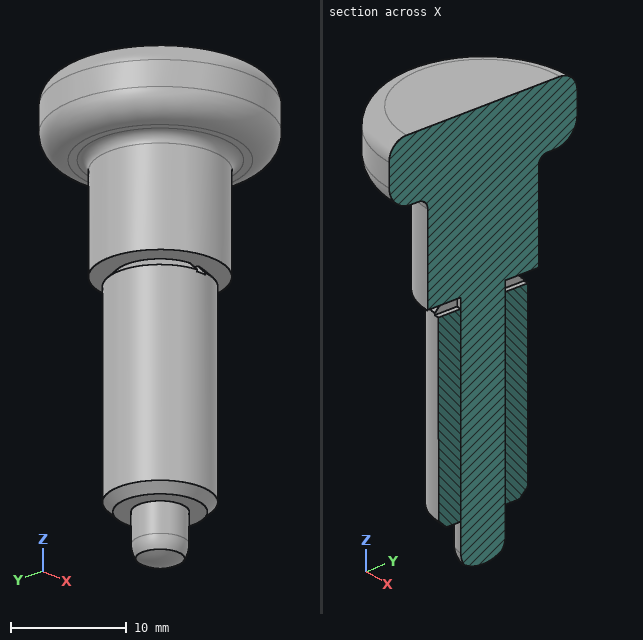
import cadquery as cq
import math

total_height = 45.0

knob_radius = 21.0 / 2
knob_height = 7.0
knob_top_round = 2.0
knob_bottom_round = 2.5
neck_radius = 6.2
neck_height = 11.0
neck_fillet = 1.0

pin_radius = 2.5
round_height = 2.0
dome_height = 0.65

sleeve_radius = 5.0
sleeve_chamfer = 0.9
sleeve_bottom = 5.0
slot_width = 1.0
slot_depth = 1.1

knob_bottom = total_height - knob_height
neck_bottom = knob_bottom - neck_height
sleeve_length = neck_bottom - sleeve_bottom


def make_plunger():
    """Knob and pin, revolved from one half-outline."""
    side_drop = round_height - dome_height
    dome_radius = math.sqrt(pin_radius**2 - side_drop**2)
    side_mid_angle = math.asin(side_drop / pin_radius) / 2
    side_mid = (
        pin_radius * math.cos(side_mid_angle),
        round_height - pin_radius * math.sin(side_mid_angle),
    )

    cap_radius = (dome_radius**2 + dome_height**2) / (2 * dome_height)
    dome_mid_radius = dome_radius / 2
    dome_mid = (dome_mid_radius, cap_radius - math.sqrt(cap_radius**2 - dome_mid_radius**2))

    outline = (
        cq.Workplane("XZ")
        .moveTo(0, 0)
        .threePointArc(dome_mid, (dome_radius, dome_height))
        .threePointArc(side_mid, (pin_radius, round_height))
        .lineTo(pin_radius, neck_bottom)
        .lineTo(neck_radius, neck_bottom)
        .lineTo(neck_radius, knob_bottom - neck_fillet)
        .radiusArc((neck_radius + neck_fillet, knob_bottom), neck_fillet)
        .lineTo(knob_radius - knob_bottom_round, knob_bottom)
        .radiusArc((knob_radius, knob_bottom + knob_bottom_round), -knob_bottom_round)
        .lineTo(knob_radius, total_height - knob_top_round)
        .radiusArc((knob_radius - knob_top_round, total_height), -knob_top_round)
        .lineTo(0, total_height)
        .close()
    )
    return outline.revolve(360, (0, 0, 0), (0, 1, 0))


def make_sleeve():
    """Chamfered sleeve with a bore for the pin and a slot across its top end."""
    sleeve = (
        cq.Workplane("XY")
        .workplane(offset=sleeve_bottom)
        .circle(sleeve_radius)
        .extrude(sleeve_length)
        .edges("%CIRCLE")
        .chamfer(sleeve_chamfer)
        .faces(">Z")
        .workplane()
        .hole(2 * pin_radius)
    )
    slot = (
        cq.Workplane("XY")
        .workplane(offset=neck_bottom - slot_depth)
        .rect(slot_width, 2 * sleeve_radius)
        .extrude(slot_depth)
    )
    return sleeve.cut(slot)


plunger = make_plunger()
sleeve = make_sleeve()

result = cq.Compound.makeCompound([plunger.val(), sleeve.val()])